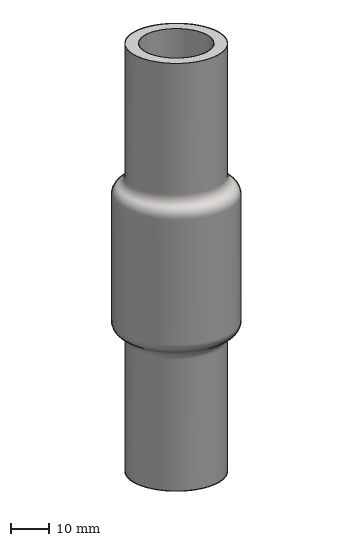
import cadquery as cq
import math

LENGTH = 122.0
PIPE_DIAMETER = 27.0
BODY_DIAMETER = 34.0
BORE_DIAMETER = 19.8
BODY_HALF_LENGTH = 17.9
SHOULDER_LENGTH = 5.5

pipe_radius = PIPE_DIAMETER / 2
body_radius = BODY_DIAMETER / 2
half_length = LENGTH / 2

shoulder_step = body_radius - pipe_radius
shoulder_angle = 2 * math.atan2(shoulder_step, SHOULDER_LENGTH)
shoulder_arc_radius = SHOULDER_LENGTH / 2 / math.sin(shoulder_angle)

shoulder_base_z = BODY_HALF_LENGTH
shoulder_top_z = BODY_HALF_LENGTH + SHOULDER_LENGTH
arc_join = ((pipe_radius + body_radius) / 2, (shoulder_base_z + shoulder_top_z) / 2)
half_angle = shoulder_angle / 2
arc_mid_inset = shoulder_arc_radius * (1 - math.cos(half_angle))
arc_mid_rise = shoulder_arc_radius * math.sin(half_angle)
convex_mid = (body_radius - arc_mid_inset, shoulder_base_z + arc_mid_rise)
concave_mid = (pipe_radius + arc_mid_inset, shoulder_top_z - arc_mid_rise)


def mirrored(point):
    """Same point on the lower half of the part."""
    radius, height = point
    return (radius, -height)


def make_body():
    """Solid of revolution about Z: pipe end, shoulder, thick middle, shoulder, pipe end."""
    shoulder_base = (body_radius, shoulder_base_z)
    shoulder_top = (pipe_radius, shoulder_top_z)
    pipe_end = (pipe_radius, half_length)
    profile = (
        cq.Workplane("XZ")
        .moveTo(0, -half_length)
        .lineTo(*mirrored(pipe_end))
        .lineTo(*mirrored(shoulder_top))
        .threePointArc(mirrored(concave_mid), mirrored(arc_join))
        .threePointArc(mirrored(convex_mid), mirrored(shoulder_base))
        .lineTo(*shoulder_base)
        .threePointArc(convex_mid, arc_join)
        .threePointArc(concave_mid, shoulder_top)
        .lineTo(*pipe_end)
        .lineTo(0, half_length)
        .close()
    )
    return profile.revolve(360, (0, 0, 0), (0, 1, 0))


def make_bore():
    """Straight bore running the full length."""
    return cq.Workplane("XY").circle(BORE_DIAMETER / 2).extrude(half_length, both=True)


result = make_body().cut(make_bore())